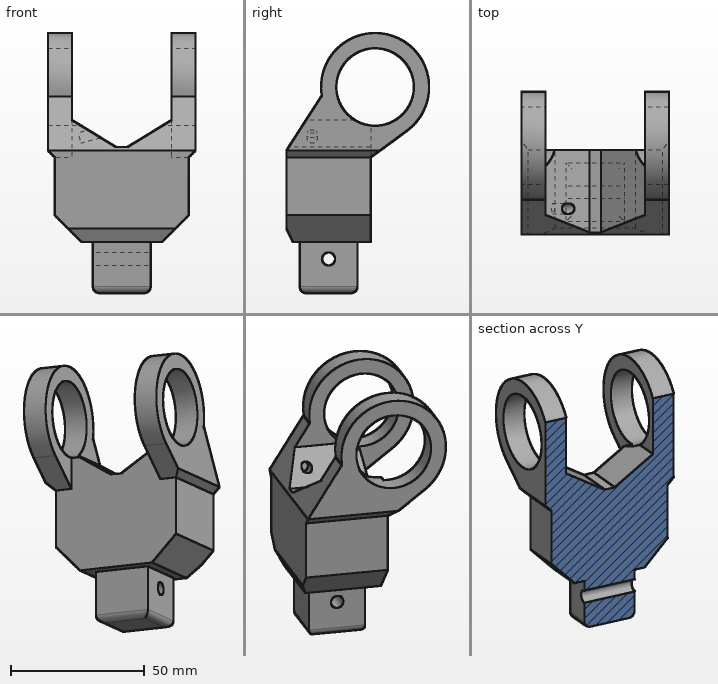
import cadquery as cq
import math

total_height = 97.3
body_bottom = 19.2
lug_chamfer_bottom = 50.8
lug_bottom = 53.3

body_width = 50.1
body_depth = 31.6
side_bevel = 10.0
front_bevel_inset = 2.4
front_bevel_height = 5.1

shank_size = 21.7
shank_end_radius = 2.6
pin_hole_diameter = 4.8
pin_hole_height = 12.8

fork_width = 55.2
fork_gap = 37.1
ring_diameter = 40.5
bore_diameter = 28.9
total_depth = 53.4
front_slope_run = 13.0
front_slope_top = 73.6

floor_width = 4.3
floor_height = 54.7
valley_top = 64.7

oil_hole_diameter = 4.0
oil_hole_x = -10.1
oil_hole_y = -6.1
oil_hole_depth = 5.8
oil_hole_rise = 15.0

front_y = -body_depth / 2
back_y = body_depth / 2
ring_radius = ring_diameter / 2
ring_y = front_y + total_depth - ring_radius
ring_z = total_height - ring_radius


def back_tangent_point():
    """Point where the line from the body's back edge touches the ring from behind."""
    dy = back_y - ring_y
    dz = lug_chamfer_bottom - ring_z
    angle = math.atan2(dz, dy) + math.acos(ring_radius / math.hypot(dy, dz))
    return ring_y + ring_radius * math.cos(angle), ring_z + ring_radius * math.sin(angle)


def make_side_blank():
    """Body, lug and ring outline in the YZ plane, extruded over the full width."""
    body = (
        cq.Workplane("YZ")
        .moveTo(back_y, body_bottom)
        .lineTo(back_y, lug_chamfer_bottom)
        .lineTo(*back_tangent_point())
        .lineTo(ring_y, ring_z)
        .lineTo(front_y + front_slope_run, front_slope_top)
        .lineTo(front_y, lug_bottom)
        .lineTo(front_y, body_bottom + front_bevel_height)
        .lineTo(front_y + front_bevel_inset, body_bottom)
        .close()
        .extrude(fork_width / 2, both=True)
    )
    ring = cq.Workplane("YZ").center(ring_y, ring_z).circle(ring_radius).extrude(fork_width / 2, both=True)
    return body.union(ring)


def make_front_blank():
    """Fork outline in the XZ plane, extruded past the full depth."""
    right_side = [
        (body_width / 2 - side_bevel, body_bottom),
        (body_width / 2, body_bottom + side_bevel),
        (body_width / 2, lug_chamfer_bottom),
        (fork_width / 2, lug_bottom),
        (fork_width / 2, total_height),
        (fork_gap / 2, total_height),
        (fork_gap / 2, valley_top),
        (floor_width / 2, floor_height),
    ]
    left_side = [(-x, z) for x, z in reversed(right_side)]
    return cq.Workplane("XZ").polyline(right_side + left_side).close().extrude(total_depth, both=True)


def make_gap_clearance():
    """Space between the cheeks behind the back face of the body."""
    clearance = cq.Workplane("XY").box(fork_gap, total_depth, total_height, centered=(True, False, False))
    return clearance.translate((0, back_y, 0))


def make_bore():
    return cq.Workplane("YZ").center(ring_y, ring_z).circle(bore_diameter / 2).extrude(fork_width, both=True)


def make_shank():
    shank = cq.Workplane("XY").rect(shank_size, shank_size).extrude(body_bottom)
    shank = shank.faces("<Z").edges().fillet(shank_end_radius)
    pin = cq.Workplane("YZ").center(0, pin_hole_height).circle(pin_hole_diameter / 2)
    return shank.cut(pin.extrude(shank_size, both=True))


def make_oil_hole():
    flank_slope = (valley_top - floor_height) / (fork_gap / 2 - floor_width / 2)
    mouth_z = floor_height + (abs(oil_hole_x) - floor_width / 2) * flank_slope
    rise = math.radians(oil_hole_rise)
    outward = cq.Vector(math.cos(rise), 0, math.sin(rise))
    mouth = cq.Vector(oil_hole_x, oil_hole_y, mouth_z)
    start = mouth - outward * oil_hole_depth
    drill = cq.Solid.makeCylinder(oil_hole_diameter / 2, 2 * oil_hole_depth, start, outward)
    return cq.Workplane(drill)


fork = make_side_blank().intersect(make_front_blank())
fork = fork.cut(make_gap_clearance()).cut(make_bore()).cut(make_oil_hole())
result = fork.union(make_shank())